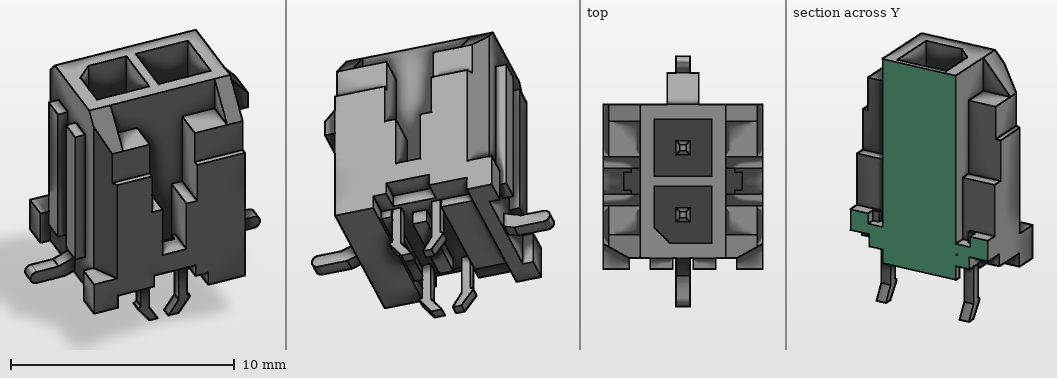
import cadquery as cq
import math


half_width = 3.575
half_depth = 3.44
height = 9.92
overall_height = 11.96
core_half_width = 1.91

shoulder_half_width = 3.32
shoulder_top = 8.31
shoulder_step = 6.73
rear_rib_face = 2.68
front_rib_face = -2.4

slot_half_width = 1.1
slot_step = 4.76
keyway_half_width = 0.58
keyway_floor = 2.27
recess_outer_x = 2.64
recess_neck_x = 2.31
recess_half_width = 0.4
recess_depth = 0.5

corner_x = 2.4
corner_y = -2.79
foot_top = 1.61
foot_front = -3.93
rib_inner_x = 0.45
rib_outer_x = 1.47

arch_height = 0.66
arch_front = -2.76
arch_rear = 1.64
peg_bay_half_width = 1.18
inner_bottom = 0.24
keel_half_width = 0.325
window_half_width = 1.005
window_shift = 0.02
window_top = 1.25
window_inner_x = 2.6

pitch = 3.0
cavity_size = 2.55
cavity_floor = 2.27
key_chamfer = 0.7
pin_size = 0.63
pin_tip_size = 0.28
pin_taper = 0.95
pin_top = 7.0

lead_reach = 5.6
lead_bottom = -0.04
lead_thickness = 0.61
lead_bend_top = 4.23
lead_bend_bottom = 3.92
lead_rise = 0.287
lead_embed = 0.3
lead_root = half_depth - lead_embed

latch_half_width = 0.71
latch_tip_y = 4.85
latch_top = 9.39
latch_tip_top = 7.74
latch_bottom = 6.97
latch_radius = 0.6

peg_bottom = height - overall_height
peg_barb_z = -1.26
peg_barb_rise = 0.12
peg_outer_y = 1.13
peg_inner_y = 0.72
peg_barb_y = 1.28
peg_knee_z = -1.32
peg_toe_y = 0.71
rear_peg_toe_inner_y = 0.21
front_peg_toe_inner_y = 0.3


def block(x_range, y_range, z_range):
    """Axis-aligned box between pairs of coordinates."""
    x0, x1 = x_range
    y0, y1 = y_range
    z0, z1 = z_range
    return cq.Workplane("XY").box(x1 - x0, y1 - y0, z1 - z0, centered=False).translate((x0, y0, z0))


def both_sides(shape):
    """The shape together with its mirror image on the other side of X = 0."""
    return shape.union(shape.mirror("YZ"))


def yz_extrusion(profile, x_range):
    """Extrude a closed YZ profile between two X positions."""
    x0, x1 = x_range
    return profile.extrude(x1 - x0).translate((x0, 0, 0))


def make_shell():
    """Stepped and sloped outer body with the front corners cut off above the feet."""
    outline = [
        (-half_width, 0),
        (half_width, 0),
        (half_width, shoulder_step),
        (shoulder_half_width, shoulder_step),
        (shoulder_half_width, shoulder_top),
        (core_half_width, height),
        (-core_half_width, height),
        (-shoulder_half_width, shoulder_top),
        (-shoulder_half_width, shoulder_step),
        (-half_width, shoulder_step),
    ]
    shell = cq.Workplane("XZ").polyline(outline).close().extrude(half_depth, both=True)
    corner = (
        cq.Workplane("XY", origin=(0, 0, foot_top))
        .polyline([(half_width, corner_y), (half_width, -half_depth), (corner_x, -half_depth)])
        .close()
        .extrude(height - foot_top)
    )
    return shell.cut(both_sides(corner))


def make_side_cuts():
    """Shoulder ledges, stepped slots and the T-shaped recesses in the slot floors."""
    reach = (core_half_width, half_width)
    cuts = block(reach, (front_rib_face, rear_rib_face), (shoulder_top, height))
    cuts = cuts.union(block(reach, (-slot_half_width, slot_half_width), (slot_step, height)))
    cuts = cuts.union(block(reach, (-keyway_half_width, keyway_half_width), (keyway_floor, height)))
    recess_z = (keyway_floor - recess_depth, keyway_floor)
    neck = block((core_half_width, recess_neck_x), (-keyway_half_width, keyway_half_width), recess_z)
    head = block((core_half_width, recess_outer_x), (-recess_half_width, recess_half_width), recess_z)
    return both_sides(cuts.union(neck).union(head))


def make_underside_cuts():
    """Arch under the side walls, peg bay across the middle and windows above the arch."""
    arch_y = (arch_front, arch_rear)
    bay_y = (-peg_bay_half_width, peg_bay_half_width)
    window_y = (window_shift - window_half_width, window_shift + window_half_width)
    arch = block((corner_x, half_width), arch_y, (0, arch_height))
    window = block((window_inner_x, half_width), window_y, (0, window_top))
    raised_floor = block((-corner_x, corner_x), arch_y, (0, inner_bottom))
    bay = block((-corner_x, corner_x), bay_y, (0, arch_height))
    keel = block(
        (-core_half_width, core_half_width), (-keel_half_width, keel_half_width), (0, arch_height)
    )
    return both_sides(arch.union(window)).union(raised_floor).union(bay).cut(keel)


def make_feet_and_ribs():
    """Two corner feet and two upright ribs on the front face."""
    foot = block((corner_x, half_width), (foot_front, corner_y), (0, foot_top))
    rib = block((rib_inner_x, rib_outer_x), (foot_front, -half_depth), (foot_top, shoulder_top))
    return both_sides(foot.union(rib))


def make_cavity(center_y, keyed):
    """Square contact cavity; the keyed one has a filled corner."""
    cavity = (
        cq.Workplane("XY", origin=(0, center_y, cavity_floor))
        .rect(cavity_size, cavity_size)
        .extrude(height - cavity_floor)
    )
    if keyed:
        cavity = cavity.edges("|Z and <X and <Y").chamfer(key_chamfer)
    return cavity


def make_pin(center_y):
    """Square contact pin with a tapered tip."""
    shank_top = pin_top - pin_taper
    shank = (
        cq.Workplane("XY", origin=(0, center_y, cavity_floor))
        .rect(pin_size, pin_size)
        .extrude(shank_top - cavity_floor)
    )
    tip = (
        cq.Workplane("XY", origin=(0, center_y, shank_top))
        .rect(pin_size, pin_size)
        .workplane(offset=pin_taper)
        .rect(pin_tip_size, pin_tip_size)
        .loft()
    )
    return shank.union(tip)


def make_rear_lead():
    """Bent solder lead with a fully rounded end, leaving the rear wall."""
    end_radius = lead_thickness / 2
    lead_top = lead_bottom + lead_thickness
    slope = lead_rise / (lead_bend_top - half_depth)
    root_top = lead_top + slope * (lead_bend_top - lead_root)
    root_bottom = lead_bottom + slope * (lead_bend_bottom - lead_root)
    profile = (
        cq.Workplane("YZ")
        .moveTo(lead_root, root_top)
        .lineTo(lead_bend_top, lead_top)
        .lineTo(lead_reach - end_radius, lead_top)
        .threePointArc(
            (lead_reach, lead_bottom + end_radius), (lead_reach - end_radius, lead_bottom)
        )
        .lineTo(lead_bend_bottom, lead_bottom)
        .lineTo(lead_root, root_bottom)
        .close()
    )
    return yz_extrusion(profile, (-pin_size / 2, pin_size / 2))


def make_latch():
    """Latch ramp on the rear wall with a concave fillet below."""
    arc_offset = latch_radius * (1 - math.sqrt(0.5))
    profile = (
        cq.Workplane("YZ")
        .moveTo(half_depth, latch_top)
        .lineTo(latch_tip_y, latch_tip_top)
        .lineTo(latch_tip_y, latch_bottom)
        .lineTo(half_depth + latch_radius, latch_bottom)
        .threePointArc(
            (half_depth + arc_offset, latch_bottom - arc_offset),
            (half_depth, latch_bottom - latch_radius),
        )
        .close()
    )
    return yz_extrusion(profile, (-latch_half_width, latch_half_width))


def make_peg(direction, toe_inner_y):
    """Barbed peg leg on the +Y (direction 1) or -Y (direction -1) side, on both sides in X."""
    outline = [
        (peg_outer_y, arch_height),
        (peg_outer_y, peg_barb_z + peg_barb_rise),
        (peg_barb_y, peg_barb_z),
        (peg_toe_y, peg_bottom),
        (toe_inner_y, peg_bottom),
        (peg_inner_y, peg_knee_z),
        (peg_inner_y, arch_height),
    ]
    profile = cq.Workplane("YZ").polyline([(direction * y, z) for y, z in outline]).close()
    return both_sides(yz_extrusion(profile, (core_half_width, corner_x)))


rear_lead = make_rear_lead()

result = make_shell().cut(make_side_cuts()).union(make_feet_and_ribs()).cut(make_underside_cuts())
for cavity_y, keyed in ((pitch / 2, False), (-pitch / 2, True)):
    result = result.cut(make_cavity(cavity_y, keyed)).union(make_pin(cavity_y))
result = result.union(make_latch())
result = result.union(rear_lead).union(rear_lead.mirror("XZ"))
result = result.union(make_peg(1, rear_peg_toe_inner_y)).union(make_peg(-1, front_peg_toe_inner_y))